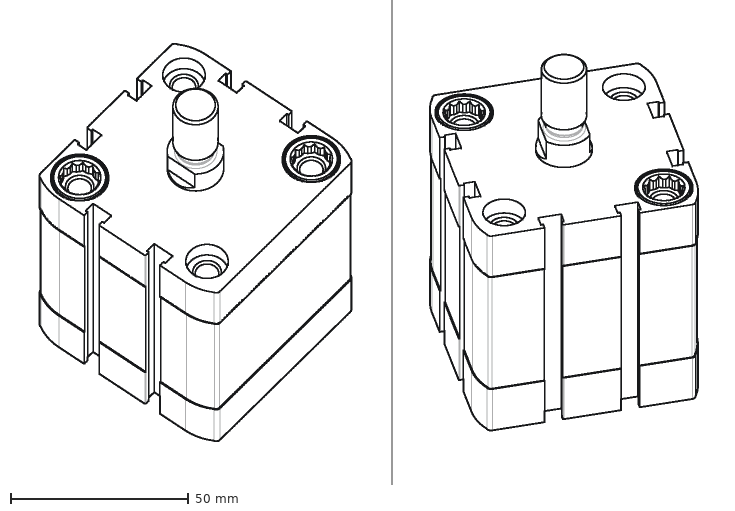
import cadquery as cq
import math

CAP_WIDTH = 65.5
BARREL_INSET = 0.3
HOUSING_HEIGHT = 70.5
CAP_HEIGHT = 15.0
CORNER_ARC_START = 23.1
CORNER_ARC_RADIUS = 16.6
CORNER_ARC_RUN = 8.5
CORNER_FLAT_END = 29.1

SLOT_OFFSET = 11.2
SLOT_MOUTH_WIDTH = 5.3
SLOT_WIDTH = 6.7
SLOT_LIP = 1.6
SLOT_DEPTH = 4.8
SLOT_SIDE_TURNS = (0, -90, 180)
CAP_RIB_ROUNDING = 0.25

HOLE_OFFSET = 23.2
BORE_DIAMETER = 6.6
BORE_MOUTH_DIAMETER = 8.0
COUNTERBORE_DIAMETER = 12.0
COUNTERBORE_DEPTH = 5.0
PLAIN_CORNERS = [(-1, 1), (1, -1)]
SOCKET_CORNERS = [(-1, -1), (1, 1)]

SOCKET_TIP_DIAMETER = 11.5
SOCKET_POINT_PITCH = 30
SOCKET_DRILL_DIAMETER = 10.6
SOCKET_SINK_DEPTH = 1.3
SOCKET_DEPTH = 4.4
GROOVE_OUTER_DIAMETER = 16.4
GROOVE_FLOOR_DIAMETER = 15.5
GROOVE_INNER_DIAMETER = 14.7
GROOVE_DEPTH = 0.4

TOTAL_HEIGHT = 100.6
ROD_DIAMETER = 16.0
STUD_DIAMETER = 12.8
STUD_CHAMFER = 0.8
STUD_BOTTOM = 82.9
NECK_DIAMETER = 10.6
NECK_TOP = 80.0
NECK_BLEND = 1.2
SHOULDER_HEIGHT = 78.6
NECK_FILLET = 0.7
ROD_BOTTOM = HOUSING_HEIGHT - CAP_HEIGHT
FLATS_WIDTH = 12.7
FLATS_BOTTOM = 72.2
FLATS_RUNOUT = 1.0


def housing_section(inset, bottom, height):
    """Square prism with crowned corners, every side moved in by `inset`."""
    half = CAP_WIDTH / 2 - inset
    arc_end_x = CORNER_ARC_START + CORNER_ARC_RUN
    run = arc_end_x - CORNER_ARC_START
    center_y = half - CORNER_ARC_RADIUS
    arc_end_y = center_y + math.sqrt(CORNER_ARC_RADIUS ** 2 - run ** 2)
    half_angle = math.asin(run / CORNER_ARC_RADIUS) / 2
    arc_mid_x = CORNER_ARC_START + CORNER_ARC_RADIUS * math.sin(half_angle)
    arc_mid_y = center_y + CORNER_ARC_RADIUS * math.cos(half_angle)
    round_x = half - arc_end_x
    round_y = arc_end_y - CORNER_FLAT_END
    round_radius = (round_x ** 2 + round_y ** 2) / (2 * round_x)
    round_half_angle = math.asin(round_y / round_radius) / 2
    round_mid_x = half - round_radius * (1 - math.cos(round_half_angle))
    round_mid_y = CORNER_FLAT_END + round_radius * math.sin(round_half_angle)
    quarter = (
        cq.Workplane("XY", origin=(0, 0, bottom))
        .lineTo(0, half)
        .lineTo(CORNER_ARC_START, half)
        .threePointArc((arc_mid_x, arc_mid_y), (arc_end_x, arc_end_y))
        .threePointArc((round_mid_x, round_mid_y), (half, CORNER_FLAT_END))
        .lineTo(half, 0)
        .close()
        .extrude(height)
    )
    upper = quarter.union(quarter.mirror("YZ"))
    return upper.union(upper.mirror("XZ"))


def t_slot():
    """T-slot cutter of full height, opening in the -Y side at X = 0."""
    side = -CAP_WIDTH / 2
    mouth = cq.Workplane("XY").rect(SLOT_MOUTH_WIDTH, 2 * SLOT_DEPTH).extrude(HOUSING_HEIGHT)
    pocket_depth = SLOT_DEPTH - SLOT_LIP
    pocket = (
        cq.Workplane("XY")
        .center(0, SLOT_LIP + pocket_depth / 2)
        .rect(SLOT_WIDTH, pocket_depth)
        .extrude(HOUSING_HEIGHT)
    )
    return mouth.union(pocket).translate((0, side, 0))


def cone(top_diameter, bottom_diameter, top, depth):
    """Upright frustum reaching down from height `top`."""
    return cq.Workplane(
        cq.Solid.makeCone(bottom_diameter / 2, top_diameter / 2, depth, cq.Vector(0, 0, top - depth))
    )


def disc(diameter, top, depth):
    """Upright cylinder reaching down from height `top`."""
    return cq.Workplane("XY", origin=(0, 0, top - depth)).circle(diameter / 2).extrude(depth)


def screw_hole(floor):
    """Through bore with a chamfered mouth at height `floor`."""
    mouth_depth = (BORE_MOUTH_DIAMETER - BORE_DIAMETER) / 2
    bore = disc(BORE_DIAMETER, floor, floor)
    return bore.union(cone(BORE_MOUTH_DIAMETER, BORE_DIAMETER, floor, mouth_depth))


def plain_hole():
    """Screw hole under a plain counterbore."""
    counterbore = disc(COUNTERBORE_DIAMETER, HOUSING_HEIGHT, COUNTERBORE_DEPTH)
    return screw_hole(HOUSING_HEIGHT - COUNTERBORE_DEPTH).union(counterbore)


def socket_hole():
    """Screw hole under a countersunk twelve-point socket, ringed by a narrow groove."""
    floor = HOUSING_HEIGHT - SOCKET_DEPTH
    hexagon = (
        cq.Workplane("XY", origin=(0, 0, floor))
        .polygon(6, SOCKET_TIP_DIAMETER)
        .extrude(SOCKET_DEPTH)
    )
    socket = hexagon.union(hexagon.rotate((0, 0, 0), (0, 0, 1), SOCKET_POINT_PITCH))
    drill = disc(SOCKET_DRILL_DIAMETER, HOUSING_HEIGHT, SOCKET_DEPTH)
    sink = cone(COUNTERBORE_DIAMETER, SOCKET_DRILL_DIAMETER, HOUSING_HEIGHT, SOCKET_SINK_DEPTH)
    groove = disc(GROOVE_OUTER_DIAMETER, HOUSING_HEIGHT, GROOVE_DEPTH).cut(
        cone(GROOVE_INNER_DIAMETER, GROOVE_FLOOR_DIAMETER, HOUSING_HEIGHT, GROOVE_DEPTH)
    )
    return screw_hole(floor).union(socket).union(drill).union(sink).union(groove)


def cut_slots(body):
    """Cut two slots in each of the -Y, -X and +Y sides; the +X side stays plain."""
    for turn in SLOT_SIDE_TURNS:
        for offset in (-SLOT_OFFSET, SLOT_OFFSET):
            slot = t_slot().translate((offset, 0, 0))
            body = body.cut(slot.rotate((0, 0, 0), (0, 0, 1), turn))
    return body


def end_cap(bottom):
    """Slotted end cap with the two outer edges of each middle rib rounded."""
    cap = cut_slots(housing_section(0, bottom, CAP_HEIGHT))
    rib_edge = SLOT_OFFSET - SLOT_MOUTH_WIDTH / 2
    rib_edges = []
    for turn in SLOT_SIDE_TURNS:
        for x in (-rib_edge, rib_edge):
            mid_edge = cq.Vector(x, -CAP_WIDTH / 2, bottom + CAP_HEIGHT / 2)
            angle = math.radians(turn)
            point = (
                mid_edge.x * math.cos(angle) - mid_edge.y * math.sin(angle),
                mid_edge.x * math.sin(angle) + mid_edge.y * math.cos(angle),
                mid_edge.z,
            )
            rib_edges += cap.edges(cq.NearestToPointSelector(point)).vals()
    return cap.newObject(rib_edges).fillet(CAP_RIB_ROUNDING)


def make_housing():
    """Barrel and end caps with slots, corner holes and the bore for the rod."""
    upper_cap_bottom = HOUSING_HEIGHT - CAP_HEIGHT
    barrel = cut_slots(housing_section(BARREL_INSET, CAP_HEIGHT, upper_cap_bottom - CAP_HEIGHT))
    body = end_cap(0).union(barrel).union(end_cap(upper_cap_bottom))
    for x_sign, y_sign in PLAIN_CORNERS:
        body = body.cut(plain_hole().translate((x_sign * HOLE_OFFSET, y_sign * HOLE_OFFSET, 0)))
    for x_sign, y_sign in SOCKET_CORNERS:
        body = body.cut(socket_hole().translate((x_sign * HOLE_OFFSET, y_sign * HOLE_OFFSET, 0)))
    rod_bore = disc(ROD_DIAMETER, HOUSING_HEIGHT, HOUSING_HEIGHT - ROD_BOTTOM)
    return body.cut(rod_bore)


def make_rod():
    """Piston rod with two wrench flats, a relieved neck and a plain stud on top."""
    rod_radius = ROD_DIAMETER / 2
    stud_radius = STUD_DIAMETER / 2
    neck_radius = NECK_DIAMETER / 2
    fillet_mid = NECK_FILLET * (1 - math.sqrt(0.5))
    rod = (
        cq.Workplane("XZ")
        .moveTo(0, ROD_BOTTOM)
        .lineTo(rod_radius, ROD_BOTTOM)
        .lineTo(rod_radius, SHOULDER_HEIGHT)
        .lineTo(neck_radius + NECK_FILLET, SHOULDER_HEIGHT)
        .threePointArc(
            (neck_radius + fillet_mid, SHOULDER_HEIGHT + fillet_mid),
            (neck_radius, SHOULDER_HEIGHT + NECK_FILLET),
        )
        .lineTo(neck_radius, NECK_TOP)
        .lineTo(stud_radius, STUD_BOTTOM)
        .lineTo(stud_radius, TOTAL_HEIGHT - STUD_CHAMFER)
        .lineTo(stud_radius - STUD_CHAMFER, TOTAL_HEIGHT)
        .lineTo(0, TOTAL_HEIGHT)
        .close()
        .revolve(360, (0, 0, 0), (0, 1, 0))
        .edges(cq.NearestToPointSelector((0, 0, NECK_TOP)))
        .fillet(NECK_BLEND)
    )
    flat_cut = (
        cq.Workplane("YZ", origin=(-rod_radius, 0, 0))
        .moveTo(FLATS_WIDTH / 2, SHOULDER_HEIGHT)
        .lineTo(FLATS_WIDTH / 2, FLATS_BOTTOM)
        .lineTo(rod_radius, FLATS_BOTTOM - FLATS_RUNOUT)
        .lineTo(rod_radius, SHOULDER_HEIGHT)
        .close()
        .extrude(ROD_DIAMETER)
    )
    return rod.cut(flat_cut).cut(flat_cut.mirror("XZ"))


housing = make_housing()
piston_rod = make_rod()
result = cq.Compound.makeCompound([housing.val(), piston_rod.val()])